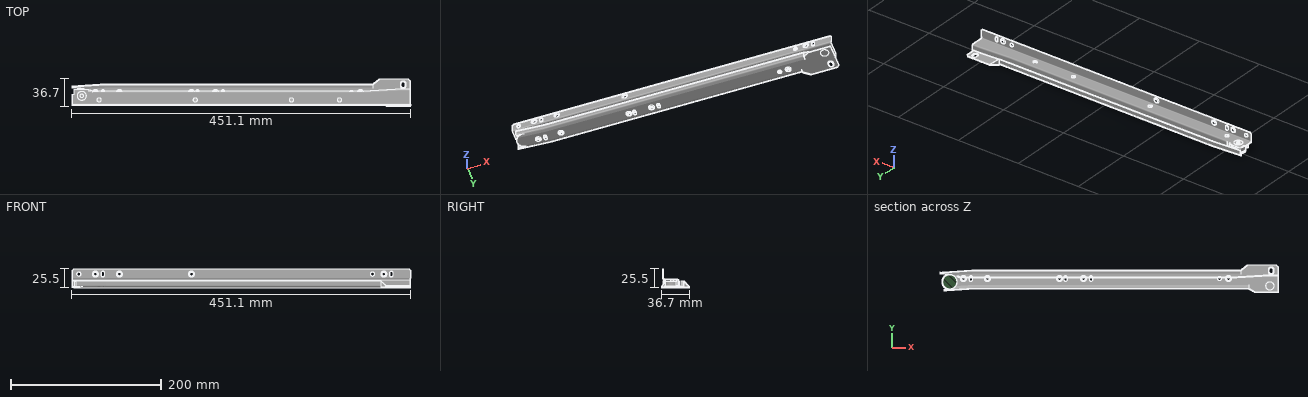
import cadquery as cq
import math

SAME_POINT = 1e-6

SHEET = 1.2
INNER_BEND = 1.3
OUTER_BEND = INNER_BEND + SHEET
TOTAL_LENGTH = 451.08
TOTAL_HEIGHT = 25.5

CABINET_END_X = 450.2
CHANNEL_PLUS_Y = 11.5
CHANNEL_MINUS_Y = -14.2
FLANGE_TOP = 9.7
WEB_SLOPE = math.radians(14.5)
SLOPE_RUN = 5.4
SLOPE_RISE = SLOPE_RUN * math.tan(WEB_SLOPE)
BENT_LENGTH = 44.5
BENT_SHIFT = -3.0
MINUS_FLANGE_START = 5.0
ROUND_END_RADIUS = 10.5
PLUS_FLANGE_END = 400.5
MINUS_FLANGE_END = 411.0
TAB_PLUS_Y = 18.325
TAB_MINUS_Y = -TAB_PLUS_Y
PLUS_FLARE_LENGTH = 10.0
MINUS_FLARE_LENGTH = 9.0
TAB_CORNER = 3.0
TAB_SLOT_X = 440.7
TAB_SLOT_Y = 10.4
TAB_SLOT_LENGTH = 8.0
TAB_SLOT_WIDTH = 5.4
TAB_SLOT_BEVEL = 1.1
STUD_X = 439.0
STUD_DIAMETER = 11.0
STUD_HEIGHT = 1.3
STUD_Y = -9.8
WEB_HOLE_Y = 0.0
WEB_SCREW_X = (31.0, 63.0, 159.0, 191.0, 384.0)
WEB_SLOT_X = (41.0, 167.0, 201.0)
WEB_PLAIN_X = 372.0

WALL_OUTER_Y = -17.0
SHELF_TOP = 11.9
SHELF_BOTTOM = SHELF_TOP - SHEET
SHELF_SETBACK = 2.5
SHELF_CORNER_Y = -2.5
SHELF_END_X = CABINET_END_X
LIP_BOTTOM = 3.0
LIP_Y = 2.0
WIDE_LIP_Y = 4.7
FRONT_WIDE_END = 20.0
FRONT_RAMP_END = 27.0
REAR_RAMP_START = 391.0
REAR_RAMP_END = 436.0
WALL_CORNER = 2.2
WALL_HOLE_Z = 18.7
WALL_SCREW_X = (31.0, 63.0, 159.0, 415.0)
WALL_SLOT_X = (41.0, 425.0)
WALL_PLAIN_X = (9.0, 400.0)
SHELF_HOLE_X = (36.0, 164.0, 292.0, 356.0)
SHELF_HOLE_Y = -9.8
SHELF_HOLE_DIAMETER = 5.6

SCREW_DIAMETER = 5.0
SCREW_HEAD_DIAMETER = 8.0
SCREW_LAND = 0.3
PLAIN_DIAMETER = 5.2
SLOT_LENGTH = 7.4
SLOT_WIDTH = 4.0

ROLLER_X = 12.9
ROLLER_Y = -4.4
ROLLER_DIAMETER = 19.5
ROLLER_BOTTOM = 2.4
ROLLER_TOP = 9.0
AXLE_DIAMETER = 4.6
SEAT_DIAMETER = 12.0
SEAT_DEPTH = 0.4


def section(x, points, inner_corners, outer_corners):
    """Closed sheet section in the plane at x, with its bends rounded."""
    wire = cq.Wire.makePolygon([cq.Vector(x, y, z) for y, z in points], close=True)
    for corners, radius in ((inner_corners, INNER_BEND), (outer_corners, OUTER_BEND)):
        spots = [cq.Vector(x, *points[i]) for i in corners]
        vertices = [v for v in wire.Vertices() if any((v.Center() - s).Length < SAME_POINT for s in spots)]
        wire = wire.fillet2D(radius, vertices)
    return wire


def ruled_run(sections):
    """Solid joining each section straight to the next."""
    run = cq.Workplane(cq.Solid.makeLoft(sections[:2], True))
    for start, end in zip(sections[1:], sections[2:]):
        run = run.union(cq.Workplane(cq.Solid.makeLoft([start, end], True)))
    return run


def block(x0, x1, y0, y1, z0, z1):
    return cq.Workplane("XY").box(x1 - x0, y1 - y0, z1 - z0, centered=False).translate((x0, y0, z0))


def screw_hole():
    """Countersunk cutter along Z through a sheet lying between z = 0 and SHEET, wide end at the top."""
    through = cq.Workplane("XY").circle(SCREW_DIAMETER / 2).extrude(SHEET)
    cone_depth = SHEET - SCREW_LAND
    cone = cq.Workplane("XY").workplane(offset=SHEET).circle(SCREW_HEAD_DIAMETER / 2)
    cone = cone.workplane(offset=-cone_depth).circle(SCREW_DIAMETER / 2).loft()
    return through.union(cone)


def plain_hole():
    return cq.Workplane("XY").circle(PLAIN_DIAMETER / 2).extrude(SHEET)


def slot_hole():
    return cq.Workplane("XY").slot2D(SLOT_LENGTH, SLOT_WIDTH, 90).extrude(SHEET)


def channel_section(x, shift):
    low = CHANNEL_MINUS_Y + shift
    high = CHANNEL_PLUS_Y + shift
    lift = SHEET / math.cos(WEB_SLOPE)
    inner_rise = (SLOPE_RUN - SHEET) * math.tan(WEB_SLOPE)
    points = [
        (low, FLANGE_TOP), (low, SLOPE_RISE), (low + SLOPE_RUN, 0),
        (high - SLOPE_RUN, 0), (high, SLOPE_RISE), (high, FLANGE_TOP),
        (high - SHEET, FLANGE_TOP), (high - SHEET, lift + inner_rise), (high - SLOPE_RUN, SHEET),
        (low + SLOPE_RUN, SHEET), (low + SHEET, lift + inner_rise), (low + SHEET, FLANGE_TOP),
    ]
    return section(x, points, (7, 10), (1, 4))


def flare(flange_end, length, flange_y, tab_y):
    """Flange end turned outward to the tab edge and falling to the web."""
    side = math.copysign(1, flange_y)
    plan = [
        (flange_end, flange_y - side * SHEET), (flange_end, flange_y),
        (flange_end + length - SHEET, tab_y), (flange_end + length, tab_y),
    ]
    upright = cq.Workplane("XY").polyline(plan).close().extrude(FLANGE_TOP)
    fall = [
        (flange_end, 0), (flange_end, FLANGE_TOP),
        (flange_end + length, SHEET), (flange_end + length, 0),
    ]
    wedge = cq.Workplane("XZ").polyline(fall).close().extrude(TAB_PLUS_Y, both=True)
    return upright.intersect(wedge)


def fixing_tab():
    plan = [
        (PLUS_FLANGE_END, CHANNEL_PLUS_Y),
        (PLUS_FLANGE_END + PLUS_FLARE_LENGTH - SHEET, TAB_PLUS_Y),
        (CABINET_END_X - TAB_CORNER, TAB_PLUS_Y), (CABINET_END_X, TAB_PLUS_Y - TAB_CORNER),
        (CABINET_END_X, TAB_MINUS_Y), (MINUS_FLANGE_END + MINUS_FLARE_LENGTH - SHEET, TAB_MINUS_Y),
        (MINUS_FLANGE_END, CHANNEL_MINUS_Y), (MINUS_FLANGE_END, CHANNEL_MINUS_Y + SLOPE_RUN),
        (PLUS_FLANGE_END, CHANNEL_MINUS_Y + SLOPE_RUN),
    ]
    tab = cq.Workplane("XY").polyline(plan).close().extrude(SHEET)
    slot = cq.Workplane("XY").center(TAB_SLOT_X, TAB_SLOT_Y).slot2D(TAB_SLOT_LENGTH, TAB_SLOT_WIDTH, 90)
    tab = tab.cut(slot.extrude(SHEET))
    rim = tab.faces(">Z").edges(cq.selectors.BoxSelector(
        (TAB_SLOT_X - TAB_SLOT_WIDTH, TAB_SLOT_Y - TAB_SLOT_LENGTH, 0),
        (TAB_SLOT_X + TAB_SLOT_WIDTH, TAB_SLOT_Y + TAB_SLOT_LENGTH, 2 * SHEET)))
    return rim.chamfer(TAB_SLOT_BEVEL)


def front_end_waste():
    """Metal trimmed off the front end: the web beyond its round nose and the -Y flange corner."""
    low = CHANNEL_MINUS_Y + BENT_SHIFT
    high = CHANNEL_PLUS_Y + BENT_SHIFT
    beyond_web = block(0, ROLLER_X, low + OUTER_BEND, high - OUTER_BEND, 0, OUTER_BEND)
    nose = cq.Workplane("XY").center(ROLLER_X, ROLLER_Y).circle(ROUND_END_RADIUS).extrude(OUTER_BEND)
    flange_corner = block(0, MINUS_FLANGE_START, low, low + OUTER_BEND, 0, FLANGE_TOP)
    return beyond_web.cut(nose).union(flange_corner)


def make_cabinet_member():
    body = ruled_run([
        channel_section(0, BENT_SHIFT),
        channel_section(BENT_LENGTH, 0),
        channel_section(MINUS_FLANGE_END, 0),
    ])
    body = body.cut(block(PLUS_FLANGE_END, MINUS_FLANGE_END,
                          CHANNEL_PLUS_Y - SLOPE_RUN, CHANNEL_PLUS_Y, 0, FLANGE_TOP))
    body = body.cut(front_end_waste())
    body = body.union(fixing_tab())
    body = body.union(flare(PLUS_FLANGE_END, PLUS_FLARE_LENGTH, CHANNEL_PLUS_Y, TAB_PLUS_Y))
    body = body.union(flare(MINUS_FLANGE_END, MINUS_FLARE_LENGTH, CHANNEL_MINUS_Y, TAB_MINUS_Y))
    stud = cq.Workplane("XY").center(STUD_X, STUD_Y).circle(STUD_DIAMETER / 2)
    body = body.union(stud.extrude(SHEET + STUD_HEIGHT))
    for x in WEB_SCREW_X:
        body = body.cut(screw_hole().translate((x, WEB_HOLE_Y, 0)))
    for x in WEB_SLOT_X:
        body = body.cut(slot_hole().translate((x, WEB_HOLE_Y, 0)))
    return body.cut(plain_hole().translate((WEB_PLAIN_X, WEB_HOLE_Y, 0)))


def drawer_section(x, lip_y):
    points = [
        (WALL_OUTER_Y, TOTAL_HEIGHT), (WALL_OUTER_Y, SHELF_BOTTOM), (lip_y - SHEET, SHELF_BOTTOM),
        (lip_y - SHEET, LIP_BOTTOM), (lip_y, LIP_BOTTOM), (lip_y, SHELF_TOP),
        (WALL_OUTER_Y + SHEET, SHELF_TOP), (WALL_OUTER_Y + SHEET, TOTAL_HEIGHT),
    ]
    return section(x, points, (2, 6), (1, 5))


def lip_relief():
    """Room for the roller under the front end of the shelf, where the lip is left off."""
    return block(0, ROLLER_X + ROLLER_DIAMETER / 2, SHELF_CORNER_Y, WIDE_LIP_Y, 0, SHELF_BOTTOM)


def in_wall(cutter, x):
    """Stand a sheet cutter up in the wall, its wide end on the outer face."""
    return cutter.rotate((0, 0, 0), (1, 0, 0), 90).translate((x, WALL_OUTER_Y + SHEET, WALL_HOLE_Z))


def make_drawer_member():
    body = ruled_run([
        drawer_section(0, WIDE_LIP_Y),
        drawer_section(FRONT_WIDE_END, WIDE_LIP_Y),
        drawer_section(FRONT_RAMP_END, LIP_Y),
        drawer_section(REAR_RAMP_START, LIP_Y),
        drawer_section(REAR_RAMP_END, WIDE_LIP_Y),
        drawer_section(SHELF_END_X, WIDE_LIP_Y),
    ])
    body = body.cut(block(0, SHELF_SETBACK, SHELF_CORNER_Y, WIDE_LIP_Y, 0, SHELF_TOP))
    body = body.cut(lip_relief())
    wall_foot = SHELF_BOTTOM + OUTER_BEND
    body = body.union(block(SHELF_END_X, TOTAL_LENGTH, WALL_OUTER_Y, WALL_OUTER_Y + SHEET,
                            wall_foot, TOTAL_HEIGHT))
    body = body.edges("|Y and >Z").edges("<X or >X").chamfer(WALL_CORNER)
    for x in WALL_SCREW_X:
        body = body.cut(in_wall(screw_hole(), x))
    for x in WALL_SLOT_X:
        body = body.cut(in_wall(slot_hole(), x))
    for x in WALL_PLAIN_X:
        body = body.cut(in_wall(plain_hole(), x))
    shelf_holes = cq.Workplane("XY").workplane(offset=SHELF_BOTTOM)
    shelf_holes = shelf_holes.pushPoints([(x, SHELF_HOLE_Y) for x in SHELF_HOLE_X])
    body = body.cut(shelf_holes.circle(SHELF_HOLE_DIAMETER / 2).extrude(SHEET))
    return add_roller(body)


def add_roller(body):
    centre = cq.Workplane("XY").center(ROLLER_X, ROLLER_Y)
    seat = centre.workplane(offset=SHELF_TOP - SEAT_DEPTH).circle(SEAT_DIAMETER / 2).extrude(SEAT_DEPTH)
    axle = centre.workplane(offset=ROLLER_BOTTOM).circle(AXLE_DIAMETER / 2)
    axle = axle.extrude(SHELF_TOP - ROLLER_BOTTOM)
    roller = centre.workplane(offset=ROLLER_BOTTOM).circle(ROLLER_DIAMETER / 2)
    roller = roller.extrude(ROLLER_TOP - ROLLER_BOTTOM)
    return body.cut(seat).union(axle).union(roller)


cabinet_member = make_cabinet_member()
drawer_member = make_drawer_member()
result = cq.Compound.makeCompound([*cabinet_member.solids().vals(), *drawer_member.solids().vals()])